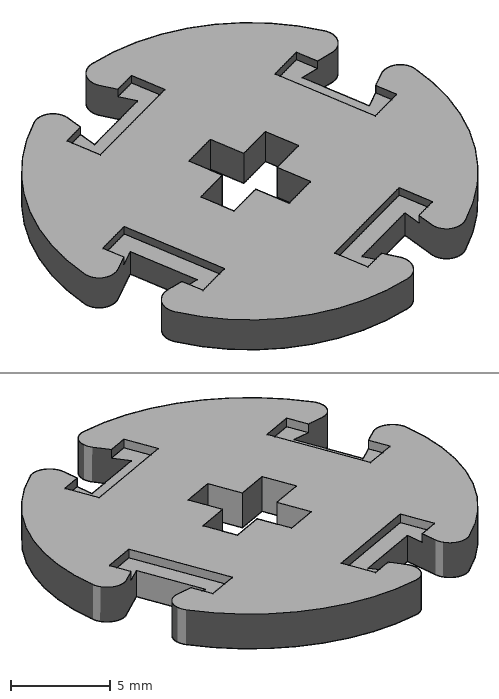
import cadquery as cq
import math

disc_radius = 11.5
thickness = 2.0
tip_radius = 1.0

notch_count = 4
notch_floor_width = 4.0
notch_floor_distance = 8.0
notch_side_angle = 15

recess_length = 6.0
recess_inner = 7.0
recess_outer = 9.0
recess_depth = 0.5

cross_length = 6.0
cross_width = 2.0


def notch_cutter():
    """Dovetail prism on the +Y side, reaching past the disc edge."""
    floor_half = notch_floor_width / 2
    rise = disc_radius - notch_floor_distance
    mouth_half = floor_half - rise * math.tan(math.radians(notch_side_angle))
    return (
        cq.Workplane("XY")
        .polyline([
            (-floor_half, notch_floor_distance),
            (floor_half, notch_floor_distance),
            (mouth_half, disc_radius),
            (-mouth_half, disc_radius),
        ])
        .close()
        .extrude(thickness)
    )


def recess_cutter():
    """Shallow pocket in the top face on the +Y side."""
    return (
        cq.Workplane("XY", origin=(0, (recess_inner + recess_outer) / 2, thickness - recess_depth))
        .rect(recess_length, recess_outer - recess_inner)
        .extrude(recess_depth)
    )


def around_disc(cutter, body):
    """Cut copies of the cutter evenly spaced about Z."""
    for index in range(notch_count):
        angle = index * 360 / notch_count
        body = body.cut(cutter.rotate((0, 0, 0), (0, 0, 1), angle))
    return body


plate = cq.Workplane("XY").circle(disc_radius).extrude(thickness)
plate = around_disc(notch_cutter(), plate)

rim_middle = (disc_radius + notch_floor_distance) / 2
core = cq.selectors.BoxSelector(
    (-rim_middle, -rim_middle, 0),
    (rim_middle, rim_middle, thickness),
)
plate = plate.edges(cq.selectors.ParallelDirSelector(cq.Vector(0, 0, 1)) - core).fillet(tip_radius)

plate = around_disc(recess_cutter(), plate)

for length_x, length_y in ((cross_length, cross_width), (cross_width, cross_length)):
    plate = plate.cut(cq.Workplane("XY").rect(length_x, length_y).extrude(thickness))

result = plate